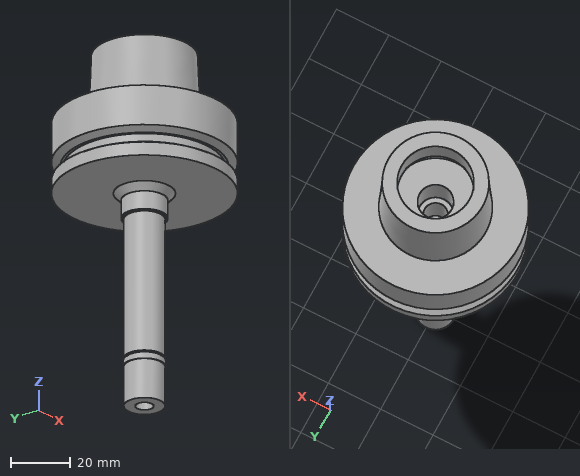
import cadquery as cq

TOTAL_LENGTH = 130.0
TAPER_LENGTH = 25.0
FLANGE_LENGTH = 26.0
FLANGE_TOP = TOTAL_LENGTH - TAPER_LENGTH
FLANGE_BOTTOM = FLANGE_TOP - FLANGE_LENGTH

TAPER_TOP_RADIUS = 18.1
TAPER_BASE_RADIUS = 19.2

FLANGE_RADIUS = 63.0 / 2
GROOVE_RADIUS = 27.5
GROOVE_SHOULDER_RADIUS = 28.6
GROOVE_BEVEL_HEIGHT = 1.5
GROOVE_FLOOR_HEIGHT = 3.4
UPPER_RIM_HEIGHT = 14.7
GROOVE_TOP = FLANGE_TOP - UPPER_RIM_HEIGHT
GROOVE_FLOOR_TOP = GROOVE_TOP - GROOVE_BEVEL_HEIGHT
GROOVE_FLOOR_BOTTOM = GROOVE_FLOOR_TOP - GROOVE_FLOOR_HEIGHT
GROOVE_BOTTOM = GROOVE_FLOOR_BOTTOM - GROOVE_BEVEL_HEIGHT

COLLAR_RADIUS = 7.9
NECK_HEIGHT = 2.6
NECK_TOP_RADIUS = COLLAR_RADIUS + NECK_HEIGHT
COLLAR_TOP = FLANGE_BOTTOM - NECK_HEIGHT
COLLAR_HEIGHT = 7.0
COLLAR_BOTTOM = COLLAR_TOP - COLLAR_HEIGHT
COLLAR_CHAMFER = 0.4
SHAFT_RADIUS = 7.0

RING_BOTTOM = 14.5
RING_HEIGHT = 2.3
RING_RADIUS = 7.3
RING_GROOVE_HEIGHT = 3.1
RING_GROOVE_RADIUS = 6.2

SOCKET_RADIUS = 13.0
SOCKET_MOUTH_DEPTH = 10.0
UNDERCUT_RADIUS = 15.6
SOCKET_DEPTH = 19.5
SCREW_BORE_RADIUS = 6.1
SCREW_BORE_DEPTH = 13.0
PILOT_RADIUS = 4.2
PILOT_DEPTH = 13.0
THROUGH_RADIUS = 3.1


def cylinder(radius, bottom, height):
    """Cylinder on the Z axis standing on the given level."""
    return cq.Workplane("XY").workplane(offset=bottom).circle(radius).extrude(height)


def make_outer_body():
    """Taper shank, grooved flange, collar and shaft as one revolved profile."""
    profile = [
        (0, 0),
        (SHAFT_RADIUS, 0),
        (SHAFT_RADIUS, COLLAR_BOTTOM),
        (COLLAR_RADIUS - COLLAR_CHAMFER, COLLAR_BOTTOM),
        (COLLAR_RADIUS, COLLAR_BOTTOM + COLLAR_CHAMFER),
        (COLLAR_RADIUS, COLLAR_TOP),
        (NECK_TOP_RADIUS, FLANGE_BOTTOM),
        (FLANGE_RADIUS, FLANGE_BOTTOM),
        (FLANGE_RADIUS, GROOVE_BOTTOM),
        (GROOVE_SHOULDER_RADIUS, GROOVE_FLOOR_BOTTOM),
        (GROOVE_RADIUS, GROOVE_FLOOR_BOTTOM),
        (GROOVE_RADIUS, GROOVE_FLOOR_TOP),
        (GROOVE_SHOULDER_RADIUS, GROOVE_FLOOR_TOP),
        (FLANGE_RADIUS, GROOVE_TOP),
        (FLANGE_RADIUS, FLANGE_TOP),
        (TAPER_BASE_RADIUS, FLANGE_TOP),
        (TAPER_TOP_RADIUS, TOTAL_LENGTH),
        (0, TOTAL_LENGTH),
    ]
    return cq.Workplane("XZ").polyline(profile).close().revolve(360, (0, 0), (0, 1))


def make_stepped_bore():
    """Undercut socket followed by two smaller steps and a through hole."""
    socket_floor = TOTAL_LENGTH - SOCKET_DEPTH
    screw_bore_floor = socket_floor - SCREW_BORE_DEPTH
    pilot_floor = screw_bore_floor - PILOT_DEPTH
    bore = cylinder(THROUGH_RADIUS, 0, TOTAL_LENGTH)
    bore = bore.union(cylinder(PILOT_RADIUS, pilot_floor, PILOT_DEPTH))
    bore = bore.union(cylinder(SCREW_BORE_RADIUS, screw_bore_floor, SCREW_BORE_DEPTH))
    bore = bore.union(cylinder(UNDERCUT_RADIUS, socket_floor, SOCKET_DEPTH - SOCKET_MOUTH_DEPTH))
    return bore.union(cylinder(SOCKET_RADIUS, socket_floor, SOCKET_DEPTH))


def make_ring_groove():
    """Annular groove around the shaft, slightly taller than the ring."""
    groove = cylinder(SHAFT_RADIUS, RING_BOTTOM, RING_GROOVE_HEIGHT)
    return groove.cut(cylinder(RING_GROOVE_RADIUS, RING_BOTTOM, RING_GROOVE_HEIGHT))


def make_holder():
    """Tool holder: outer body with its bore and ring groove."""
    return make_outer_body().cut(make_stepped_bore()).cut(make_ring_groove())


def make_retaining_ring():
    """Ring seated on the lower wall of the shaft groove."""
    ring = cylinder(RING_RADIUS, RING_BOTTOM, RING_HEIGHT)
    return ring.cut(cylinder(RING_GROOVE_RADIUS, RING_BOTTOM, RING_HEIGHT))


holder = make_holder()
retaining_ring = make_retaining_ring()
result = cq.Compound.makeCompound([holder.val(), retaining_ring.val()])